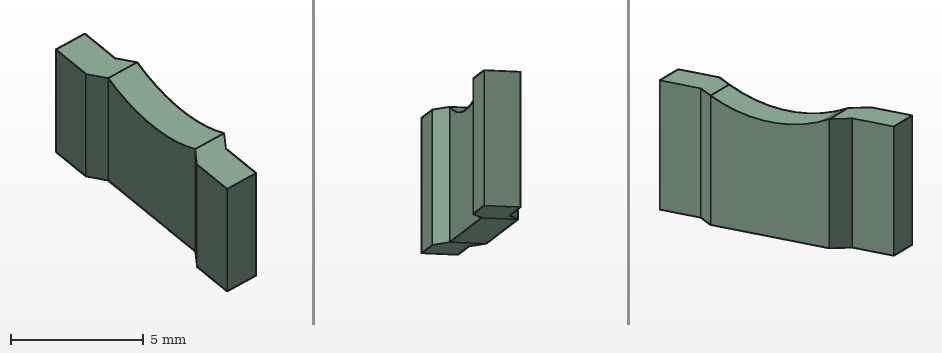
import cadquery as cq

length = 10.2
height = 5.2
thickness = 1.42
bend_offset = 0.5

foot_length = 1.8
bend_length = 0.71

notch_depth = 0.59

half_length = length / 2
bend_outer_x = half_length - foot_length
bend_inner_x = bend_outer_x - bend_length
raised_back_y = thickness + bend_offset


def make_terminal(side):
    """Bent end terminal; side is -1 for the -X end and +1 for the +X end."""
    profile = [
        (side * half_length, 0),
        (side * bend_outer_x, 0),
        (side * bend_inner_x, bend_offset),
        (side * bend_inner_x, raised_back_y),
        (side * bend_outer_x, thickness),
        (side * half_length, thickness),
    ]
    return cq.Workplane("XY").polyline(profile).close().extrude(height)


def make_middle():
    """Flat plate between the terminals, with the notch in its top edge."""
    return (
        cq.Workplane("XZ", origin=(0, raised_back_y, 0))
        .moveTo(-bend_inner_x, 0)
        .lineTo(bend_inner_x, 0)
        .lineTo(bend_inner_x, height)
        .threePointArc((0, height - notch_depth), (-bend_inner_x, height))
        .close()
        .extrude(thickness)
    )


middle = make_middle()
terminals = [make_terminal(side) for side in (-1, 1)]

result = cq.Compound.makeCompound([middle.val(), *[terminal.val() for terminal in terminals]])